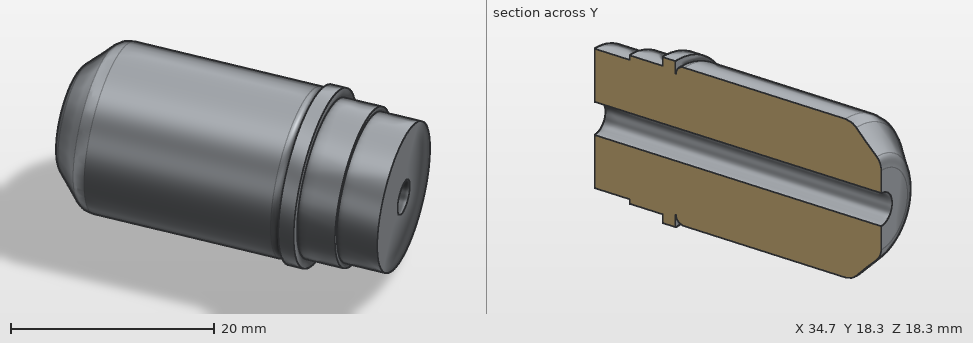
import cadquery as cq

total_length = 34.72
body_end = 24.9
flange_width = 1.6
shoulder_length = 3.97

body_diameter = 17.5
flange_diameter = 18.33
shoulder_diameter = 16.4
spigot_diameter = 15.4
bore_diameter = 3.6

nose_chamfer = 3.6
nose_edge_radius = 1.9
body_rear_radius = 1.0

flange_end = body_end + flange_width
shoulder_end = flange_end + shoulder_length


def cylinder_along_x(start, end, diameter):
    """Solid cylinder on the X axis between two stations."""
    return cq.Workplane("YZ", origin=(start, 0, 0)).circle(diameter / 2).extrude(end - start)


def make_body():
    """Main barrel with a rounded 45 degree nose cone and a rounded rear edge."""
    body = cylinder_along_x(0, body_end, body_diameter)
    body = body.faces(">X").edges().fillet(body_rear_radius)
    body = body.faces("<X").edges().chamfer(nose_chamfer)
    cone_edges = body.faces("%CONE").edges("%CIRCLE")
    return cone_edges.fillet(nose_edge_radius)


def make_rear():
    """Flange followed by two steps of decreasing diameter."""
    flange = cylinder_along_x(body_end, flange_end, flange_diameter)
    shoulder = cylinder_along_x(flange_end, shoulder_end, shoulder_diameter)
    spigot = cylinder_along_x(shoulder_end, total_length, spigot_diameter)
    return flange.union(shoulder).union(spigot)


bore = cylinder_along_x(0, total_length, bore_diameter)

result = make_body().union(make_rear()).cut(bore)